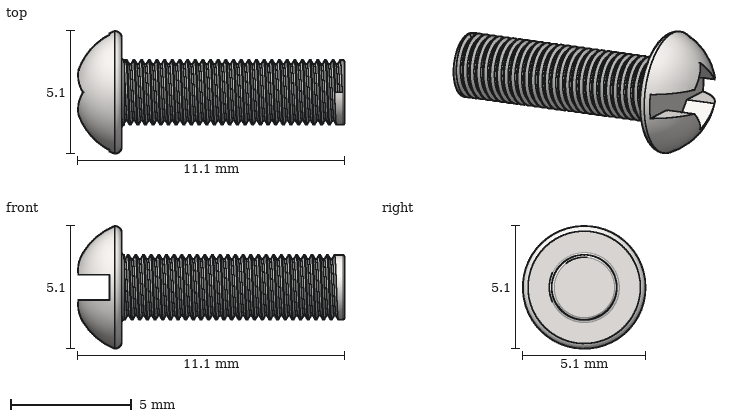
import cadquery as cq
import math


head_radius = 2.55
rim_thickness = 0.30
rim_radius = 0.315
dome_radius = 2.755
head_height = rim_thickness + dome_radius - math.sqrt(dome_radius**2 - head_radius**2)

slot_width = 1.03
square_diagonal = 2.86
recess_floor = -0.51

shank_radius = 1.35
shank_length = 9.24
tip_fillet = 0.10
neck_fillet = 0.10

pitch = 0.3175
turns = 29
thread_depth = 0.17
flank_angle = 30
crest_width = pitch / 8
groove_overshoot = 0.02
groove_width = pitch - crest_width
groove_end = shank_length - tip_fillet - groove_width / 2
groove_start = groove_end - turns * pitch


def make_head():
    """Spherical crown, rounded rim, flat underside and the fillet leading to the shank."""
    crown_mid_radius = head_radius / 2
    crown_center = dome_radius - head_height
    crown_mid_x = crown_center - math.sqrt(dome_radius**2 - crown_mid_radius**2)
    rim_center_radius = head_radius - rim_radius
    rim_end_angle = math.asin(rim_thickness / rim_radius)
    rim_mid = (
        -rim_thickness + rim_radius * math.sin(rim_end_angle / 2),
        rim_center_radius + rim_radius * math.cos(rim_end_angle / 2),
    )
    underside_radius = rim_center_radius + rim_radius * math.cos(rim_end_angle)
    neck_mid_offset = neck_fillet * (1 - math.sqrt(0.5))
    profile = (
        cq.Workplane("XY")
        .moveTo(-head_height, 0)
        .threePointArc((crown_mid_x, crown_mid_radius), (-rim_thickness, head_radius))
        .threePointArc(rim_mid, (0, underside_radius))
        .lineTo(0, shank_radius + neck_fillet)
        .threePointArc(
            (neck_mid_offset, shank_radius + neck_mid_offset), (neck_fillet, shank_radius)
        )
        .lineTo(neck_fillet, 0)
        .close()
    )
    return profile.revolve(360, (0, 0, 0), (1, 0, 0))


def make_recess():
    """Cutter for the straight slot along Y and the square socket."""
    floor = cq.Workplane("YZ", origin=(recess_floor, 0, 0))
    depth = -head_height
    slot = floor.rect(2 * head_radius, slot_width).extrude(depth)
    half = square_diagonal / 2
    square = floor.polyline([(half, 0), (0, half), (-half, 0), (0, -half)]).close().extrude(depth)
    return slot.union(square)


def make_groove():
    """Helical cutter that starts and ends on the +Z side."""
    helix = cq.Wire.makeHelix(
        pitch, turns * pitch, shank_radius, cq.Vector(groove_start, 0, 0), cq.Vector(1, 0, 0)
    )
    slope = math.tan(math.radians(flank_angle))
    root_half = groove_width / 2 - thread_depth * slope
    top_half = groove_width / 2 + groove_overshoot * slope
    root_radius = shank_radius - thread_depth
    top_radius = shank_radius + groove_overshoot
    profile = (
        cq.Workplane("XZ")
        .moveTo(groove_start - root_half, root_radius)
        .lineTo(groove_start + root_half, root_radius)
        .lineTo(groove_start + top_half, top_radius)
        .lineTo(groove_start - top_half, top_radius)
        .close()
    )
    return profile.sweep(cq.Workplane(helix), isFrenet=True)


def make_shank():
    """Shank with a rounded tip, threaded from the neck fillet onward."""
    blank = (
        cq.Workplane("YZ", origin=(neck_fillet, 0, 0))
        .circle(shank_radius)
        .extrude(shank_length - neck_fillet)
    )
    return blank.faces(">X").edges().fillet(tip_fillet).cut(make_groove())


head = make_head().cut(make_recess())
result = head.union(make_shank())